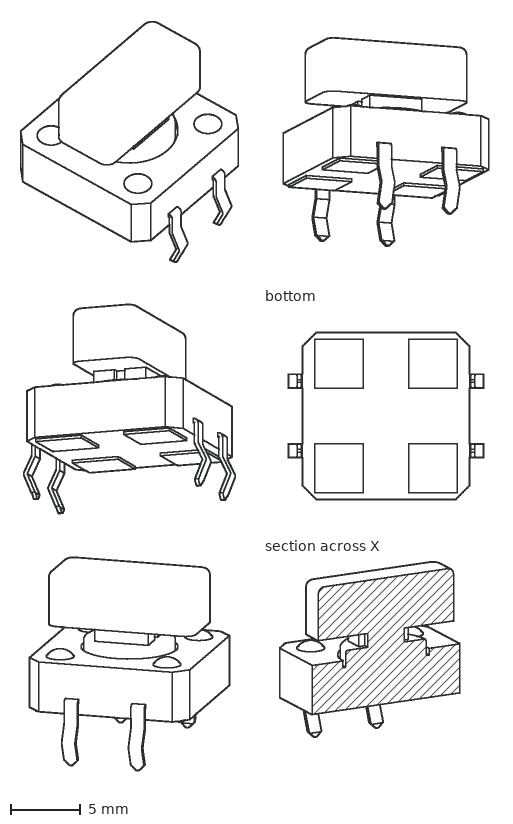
import cadquery as cq
import math


BODY_SIDE = 12.0
BODY_HEIGHT = 3.7
BODY_CHAMFER = 1.0

PAD_SIDE = 3.5
PAD_HEIGHT = 0.2
PAD_X = 3.375
PAD_Y = 3.75

DOME_BASE_RADIUS = 1.0
DOME_HEIGHT = 0.52
DOME_OFFSET = 4.0

WELL_DIAMETER = 6.95
WELL_DEPTH = 0.5
COLLAR_DIAMETER = 6.6
COLLAR_FILLET = 0.25
COLLAR_HEIGHT = 0.75
COLLAR_TOP = BODY_HEIGHT + COLLAR_HEIGHT

PLUNGER_SIDE = 4.0
PLUNGER_HEIGHT = 1.0
NOTCH_WIDTH = 0.8
NOTCH_DEPTH = 0.5

CAP_X = 5.0
CAP_Y = 11.0
CAP_HEIGHT = 4.0
CAP_CORNER_FILLET = 0.8
CAP_TOP_FILLET = 0.5
CAP_BOTTOM = COLLAR_TOP + PLUNGER_HEIGHT

LEAD_WIDTH = 1.0
LEAD_THICKNESS = 0.28
LEAD_Y = 2.5
LEAD_OUTER_X = 6.38
LEAD_REACH_X = 7.0
LEAD_EMBEDMENT = 0.3
LEAD_ROOT_X = BODY_SIDE / 2 - LEAD_EMBEDMENT
LEAD_TOP = 1.15
LEAD_KNEE_Z = -1.9
LEAD_TIP_Z = -3.7
LEAD_UPPER_ANGLE = math.radians(26.5)
LEAD_LOWER_ANGLE = math.radians(23)
LEAD_SHOULDER_RADIUS = 0.33
LEAD_KNEE_RADIUS = 0.25
LEAD_BEND_RADIUS = 0.22
LEAD_TIP_TAPER = 0.4


def box(size_x, size_y, height, bottom):
    """Box centred on the Z axis, standing on the given level."""
    return cq.Workplane("XY", origin=(0, 0, bottom)).rect(size_x, size_y).extrude(height)


def make_housing():
    housing = box(BODY_SIDE, BODY_SIDE, BODY_HEIGHT, 0)
    housing = housing.edges("|Z").chamfer(BODY_CHAMFER)
    well = cq.Workplane("XY", origin=(0, 0, BODY_HEIGHT)).circle(WELL_DIAMETER / 2)
    return housing.cut(well.extrude(-WELL_DEPTH))


def make_pads():
    pads = cq.Workplane("XY").rect(2 * PAD_X, 2 * PAD_Y, forConstruction=True).vertices()
    return pads.rect(PAD_SIDE, PAD_SIDE).extrude(-PAD_HEIGHT)


def make_domes():
    sphere_radius = (DOME_BASE_RADIUS**2 + DOME_HEIGHT**2) / (2 * DOME_HEIGHT)
    sphere_centre_z = BODY_HEIGHT + DOME_HEIGHT - sphere_radius
    corners = cq.Workplane("XY", origin=(0, 0, sphere_centre_z))
    corners = corners.rect(2 * DOME_OFFSET, 2 * DOME_OFFSET, forConstruction=True).vertices()
    spheres = corners.sphere(sphere_radius)
    above_housing = box(BODY_SIDE, BODY_SIDE, DOME_HEIGHT, BODY_HEIGHT)
    return spheres.intersect(above_housing)


def make_collar():
    well_floor = BODY_HEIGHT - WELL_DEPTH
    collar = cq.Workplane("XY", origin=(0, 0, well_floor)).circle(COLLAR_DIAMETER / 2)
    return collar.extrude(COLLAR_TOP - well_floor).faces(">Z").edges().fillet(COLLAR_FILLET)


def make_plunger():
    plunger = box(PLUNGER_SIDE, PLUNGER_SIDE, PLUNGER_HEIGHT, COLLAR_TOP)
    for side in (-1, 1):
        notch = box(NOTCH_WIDTH, 2 * NOTCH_DEPTH, PLUNGER_HEIGHT, COLLAR_TOP)
        plunger = plunger.cut(notch.translate((0, side * PLUNGER_SIDE / 2, 0)))
    return plunger


def make_cap():
    cap = box(CAP_X, CAP_Y, CAP_HEIGHT, CAP_BOTTOM)
    cap = cap.edges("|Z").fillet(CAP_CORNER_FILLET)
    return cap.faces(">Z").edges().fillet(CAP_TOP_FILLET)


def make_lead():
    """Terminal on the +X side, centred on Y = 0."""
    inner_x = LEAD_OUTER_X - LEAD_THICKNESS
    knee_half_angle = (LEAD_UPPER_ANGLE + LEAD_LOWER_ANGLE) / 2
    knee_tilt = (LEAD_UPPER_ANGLE - LEAD_LOWER_ANGLE) / 2

    corner_distance = LEAD_KNEE_RADIUS / math.cos(knee_half_angle)
    knee_x = LEAD_REACH_X - LEAD_KNEE_RADIUS + corner_distance * math.cos(knee_tilt)
    bend_z = LEAD_KNEE_Z + (knee_x - LEAD_OUTER_X) / math.tan(LEAD_UPPER_ANGLE)
    tip_bend_z = LEAD_KNEE_Z - (knee_x - LEAD_OUTER_X) / math.tan(LEAD_LOWER_ANGLE)

    inner_bend_z = bend_z - LEAD_THICKNESS * math.tan(LEAD_UPPER_ANGLE / 2)
    inner_tip_bend_z = tip_bend_z + LEAD_THICKNESS * math.tan(LEAD_LOWER_ANGLE / 2)
    knee_mitre = LEAD_THICKNESS / math.cos(knee_half_angle)
    inner_knee_x = knee_x - knee_mitre * math.cos(knee_tilt)
    inner_knee_z = LEAD_KNEE_Z - knee_mitre * math.sin(knee_tilt)

    outline = [
        (LEAD_ROOT_X, LEAD_TOP),
        (LEAD_OUTER_X, LEAD_TOP),
        (LEAD_OUTER_X, bend_z),
        (knee_x, LEAD_KNEE_Z),
        (LEAD_OUTER_X, tip_bend_z),
        (LEAD_OUTER_X, LEAD_TIP_Z),
        (inner_x, LEAD_TIP_Z),
        (inner_x, inner_tip_bend_z),
        (inner_knee_x, inner_knee_z),
        (inner_x, inner_bend_z),
        (inner_x, LEAD_TOP - LEAD_THICKNESS),
        (LEAD_ROOT_X, LEAD_TOP - LEAD_THICKNESS),
    ]
    strip = cq.Workplane("XZ").polyline(outline).close().extrude(LEAD_WIDTH / 2, both=True)

    bends = [
        (LEAD_OUTER_X, LEAD_TOP, LEAD_SHOULDER_RADIUS),
        (LEAD_OUTER_X, bend_z, LEAD_BEND_RADIUS),
        (knee_x, LEAD_KNEE_Z, LEAD_KNEE_RADIUS),
        (LEAD_OUTER_X, tip_bend_z, LEAD_BEND_RADIUS),
    ]
    for x, z, radius in bends:
        strip = strip.edges(cq.selectors.NearestToPointSelector((x, 0, z))).fillet(radius)
    return strip.faces("<Z").edges("|X").chamfer(LEAD_TIP_TAPER)


def make_leads():
    lead = make_lead()
    leads = cq.Workplane("XY")
    for y in (-LEAD_Y, LEAD_Y):
        right_lead = lead.translate((0, y, 0))
        leads = leads.add(right_lead).add(right_lead.mirror("YZ"))
    return leads


result = make_housing()
for feature in (make_pads(), make_domes(), make_collar(), make_plunger(), make_cap(), make_leads()):
    for body in feature.vals():
        result = result.union(cq.Workplane(body))